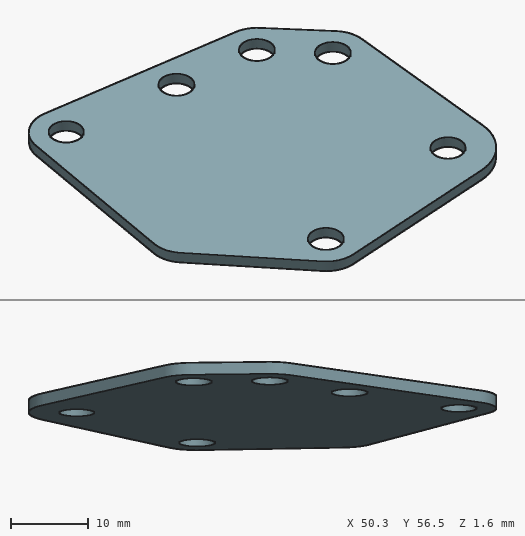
import cadquery as cq

thickness = 1.6

corners = [
    ((9.95, 30.1), 7.2),
    ((-20.2, 18.15), 4.75),
    ((-25.4, 5.65), 4.75),
    ((-15.0, -29.5), 4.85),
    ((16.3, -19.65), 4.75),
    ((25.7, 1.2), 4.75),
]

small_hole_diameter = 4.5
large_hole_diameter = 4.65
small_hole_centers = [(7.1, 22.0), (-11.8, -23.4)]
large_hole_centers = [(-16.65, 14.4), (-20.4, 5.35), (-16.7, -6.8), (20.35, 0.95)]


def rounded_plate():
    """Extrude the sharp outline, then round each vertical edge."""
    outline = [point for point, _ in corners]
    plate = cq.Workplane("XY").polyline(outline).close().extrude(thickness / 2, both=True)
    for (x, y), radius in corners:
        plate = plate.edges(cq.selectors.NearestToPointSelector((x, y, 0))).fillet(radius)
    return plate


def drill(plate, centers, diameter):
    """Cut through holes of one diameter at the given centres."""
    drills = (
        cq.Workplane("XY")
        .pushPoints(centers)
        .circle(diameter / 2)
        .extrude(thickness, both=True)
    )
    return plate.cut(drills)


result = rounded_plate()
result = drill(result, small_hole_centers, small_hole_diameter)
result = drill(result, large_hole_centers, large_hole_diameter)